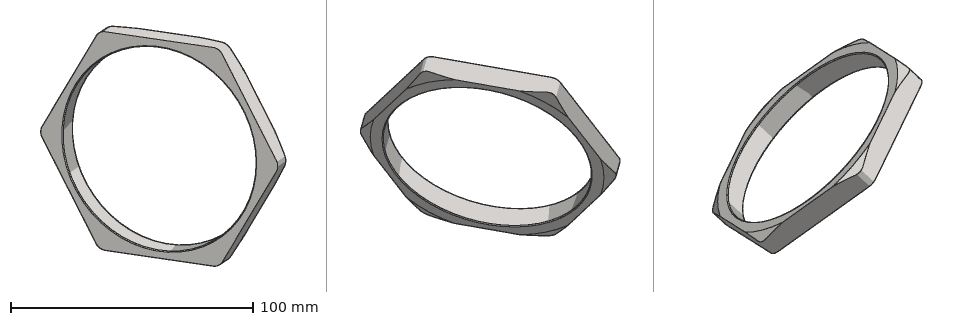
import cadquery as cq
import math

across_flats = 95.0
across_rounded_corners = 108.2
thickness = 10.0
bore_diameter = 88.0
bore_chamfer = 0.4
back_face_diameter = 98.8
bevel_depth = 2.1

sharp_corner_diameter = across_flats / math.cos(math.radians(30))
corner_excess = (sharp_corner_diameter - across_rounded_corners) / 2
corner_radius = corner_excess / (1 / math.cos(math.radians(30)) - 1)
front_y = -thickness / 2
back_y = thickness / 2


def hexagonal_blank():
    """Hexagonal plate with rounded corners pointing along X."""
    return (
        cq.Workplane("XZ", origin=(0, back_y, 0))
        .polygon(6, sharp_corner_diameter)
        .extrude(thickness)
        .edges("|Y")
        .fillet(corner_radius)
    )


def bevel_envelope():
    """Turned solid whose cone bevels the corners at the back face."""
    outer_radius = across_rounded_corners / 2
    back_radius = back_face_diameter / 2
    return (
        cq.Workplane("XY")
        .moveTo(0, front_y)
        .lineTo(outer_radius, front_y)
        .lineTo(outer_radius, back_y - bevel_depth)
        .lineTo(back_radius, back_y)
        .lineTo(0, back_y)
        .close()
        .revolve(360, (0, 0, 0), (0, 1, 0))
    )


def bore():
    """Through bore with a small chamfer at both ends."""
    bore_radius = bore_diameter / 2
    mouth_radius = bore_radius + bore_chamfer
    return (
        cq.Workplane("XY")
        .moveTo(0, front_y)
        .lineTo(mouth_radius, front_y)
        .lineTo(bore_radius, front_y + bore_chamfer)
        .lineTo(bore_radius, back_y - bore_chamfer)
        .lineTo(mouth_radius, back_y)
        .lineTo(0, back_y)
        .close()
        .revolve(360, (0, 0, 0), (0, 1, 0))
    )


result = hexagonal_blank().intersect(bevel_envelope()).cut(bore())